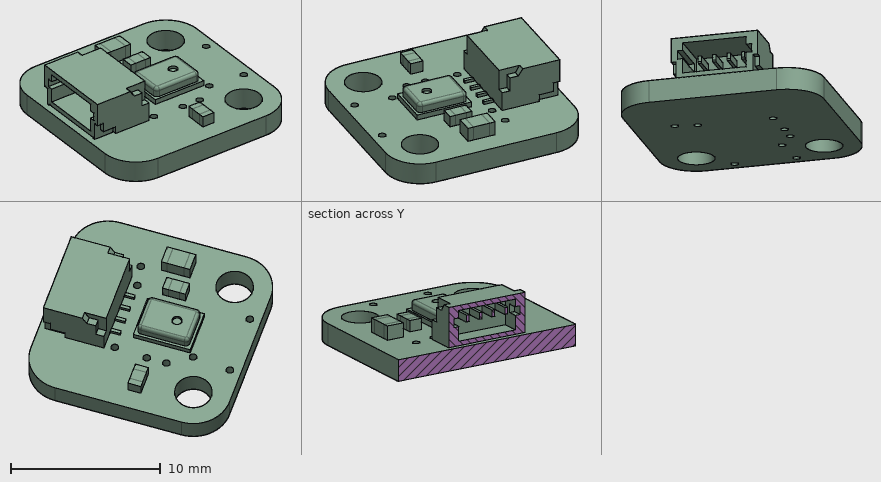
import cadquery as cq

BOARD_SIDE = 13.97
BOARD_THICKNESS = 1.55
OVERALL_HEIGHT = 4.53
CORNER_RADIUS = 2.54
MOUNT_HOLE_DIAMETER = 2.5
MOUNT_HOLE_OFFSET = BOARD_SIDE / 2 - CORNER_RADIUS
VIA_DIAMETER = 0.5
VIA_POINTS = [
    (-2.29, 6.22),
    (2.01, 6.22),
    (1.77, 3.55),
    (2.8, 2.01),
    (2.8, 0.63),
    (2.65, -1.66),
    (-2.54, -1.77),
    (-4.07, -2.03),
]

MIC_CENTER_Y = 1.27
MIC_BASE_WIDTH = 3.05
MIC_BASE_LENGTH = 4.0
MIC_BASE_HEIGHT = 0.38
MIC_RIM = 0.18
MIC_CAN_HEIGHT = 0.7
MIC_CAN_CORNER_RADIUS = 0.3
MIC_CAN_TOP_RADIUS = 0.24
PORT_DIAMETER = 0.65
PORT_DEPTH = 0.2
PORT_CENTER_Y = 1.85

CHIP_CAP_LENGTH = 0.4
LARGE_CHIP_SIZE = (2.01, 1.26, 1.0)
SMALL_CHIP_SIZE = (1.6, 0.91, 0.8)
LARGE_CHIP_CENTER = (-4.83, 0.38)
LEFT_SMALL_CHIP_CENTER = (-2.81, 0.87)
RIGHT_SMALL_CHIP_CENTER = (4.82, 0.68)

CONN_WIDTH = 6.01
CONN_BACK_Y = -2.3
CONN_FRONT_Y = -6.57
CONN_TOP = OVERALL_HEIGHT - BOARD_THICKNESS
CONN_CLEARANCE = 0.11

CAVITY_WIDTH = 4.41
CAVITY_BOTTOM = 0.46
CAVITY_TOP = 2.6
CAVITY_DEPTH = 3.35
KEYWAY_WIDTH = 5.17
KEYWAY_DEPTH = 2.8
KEYWAY_BOTTOM = 1.48
KEYWAY_TOP = 2.07

REAR_NOTCH_WIDTH = 0.49
REAR_NOTCH_BOTTOM = 1.5
REAR_NOTCH_STEP_Z = 2.5
REAR_NOTCH_STEP_Y = -2.88
REAR_NOTCH_SLOPE_Y = -3.5
REAR_NOTCH_END_Y = -3.83

FRONT_NOTCH_WIDTH = 0.32
FRONT_NOTCH_LOW_TOP = 0.63
FRONT_NOTCH_HIGH_TOP = 1.29
FRONT_NOTCH_END_Y = -5.06
FRONT_NOTCH_STEP_Y = -6.08

FOOT_WIDTH = 0.2
FOOT_BOTTOM = 0.04

CONTACT_COUNT = 4
CONTACT_PITCH = 1.0
CONTACT_WIDTH = 0.22
LEAD_HEIGHT = 0.21
LEAD_TIP_Y = -1.62
LEAD_ROOT_Y = -2.43
PIN_BOTTOM = 1.68
PIN_TOP = 2.18
PIN_LENGTH = 1.68
PIN_CHAMFER_HEIGHT = 0.11
PIN_CHAMFER_LENGTH = 0.05


def block(x_range, y_range, z_range):
    """Box between limits; heights are measured from the top of the board."""
    (x0, x1), (y0, y1), (z0, z1) = x_range, y_range, z_range
    corner = cq.Vector(x0, y0, BOARD_THICKNESS + z0)
    return cq.Workplane(cq.Solid.makeBox(x1 - x0, y1 - y0, z1 - z0, corner))


def side_profile(points, x0, width):
    """Prism of a (y, z) outline, from x0 towards +X; z is measured from the top of the board."""
    plane = cq.Workplane("YZ", origin=(x0, 0, BOARD_THICKNESS))
    return plane.polyline(points).close().extrude(width)


def make_board():
    board = cq.Workplane("XY").rect(BOARD_SIDE, BOARD_SIDE).extrude(BOARD_THICKNESS)
    board = board.edges("|Z").fillet(CORNER_RADIUS)
    mount_points = [(-MOUNT_HOLE_OFFSET, MOUNT_HOLE_OFFSET), (MOUNT_HOLE_OFFSET, MOUNT_HOLE_OFFSET)]
    top = board.faces(">Z").workplane(origin=(0, 0, BOARD_THICKNESS))
    board = top.pushPoints(mount_points).hole(MOUNT_HOLE_DIAMETER)
    top = board.faces(">Z").workplane(origin=(0, 0, BOARD_THICKNESS))
    return top.pushPoints(VIA_POINTS).hole(VIA_DIAMETER)


def make_mic_base():
    plane = cq.Workplane("XY", origin=(0, MIC_CENTER_Y, BOARD_THICKNESS))
    return plane.rect(MIC_BASE_WIDTH, MIC_BASE_LENGTH).extrude(MIC_BASE_HEIGHT)


def make_mic_can():
    can_bottom = BOARD_THICKNESS + MIC_BASE_HEIGHT
    can_top = can_bottom + MIC_CAN_HEIGHT
    plane = cq.Workplane("XY", origin=(0, MIC_CENTER_Y, can_bottom))
    can = plane.rect(MIC_BASE_WIDTH - 2 * MIC_RIM, MIC_BASE_LENGTH - 2 * MIC_RIM).extrude(MIC_CAN_HEIGHT)
    can = can.edges("|Z").fillet(MIC_CAN_CORNER_RADIUS)
    can = can.faces(">Z").edges().fillet(MIC_CAN_TOP_RADIUS)
    port_plane = cq.Workplane("XY", origin=(0, PORT_CENTER_Y, can_top))
    port = port_plane.circle(PORT_DIAMETER / 2).extrude(-PORT_DEPTH)
    return can.cut(port)


def make_chip(size, center, along_y):
    """One chip: a core with an end cap at each end, flush on all sides, with the seams kept."""
    length, width, height = size
    core_half = length / 2 - CHIP_CAP_LENGTH
    y_range = (-width / 2, width / 2)
    z_range = (0, height)
    chip = block((-core_half, core_half), y_range, z_range)
    for x_range in [(-length / 2, -core_half), (core_half, length / 2)]:
        chip = chip.union(block(x_range, y_range, z_range), clean=False)
    if along_y:
        chip = chip.rotate((0, 0, 0), (0, 0, 1), 90)
    return chip.translate((*center, 0))


def make_cavity():
    """Mouth of the connector, with a shallower keyway in each side wall."""
    mouth_y = (CONN_FRONT_Y, CONN_FRONT_Y + CAVITY_DEPTH)
    keyway_y = (CONN_FRONT_Y, CONN_FRONT_Y + KEYWAY_DEPTH)
    mouth = block((-CAVITY_WIDTH / 2, CAVITY_WIDTH / 2), mouth_y, (CAVITY_BOTTOM, CAVITY_TOP))
    keyways = block((-KEYWAY_WIDTH / 2, KEYWAY_WIDTH / 2), keyway_y, (KEYWAY_BOTTOM, KEYWAY_TOP))
    return mouth.union(keyways)


def make_rear_notch():
    """Stepped and sloped notch at the upper rear corner of the -X side."""
    outline = [
        (CONN_BACK_Y, REAR_NOTCH_BOTTOM),
        (REAR_NOTCH_STEP_Y, REAR_NOTCH_BOTTOM),
        (REAR_NOTCH_STEP_Y, REAR_NOTCH_STEP_Z),
        (REAR_NOTCH_SLOPE_Y, REAR_NOTCH_STEP_Z),
        (REAR_NOTCH_END_Y, CONN_TOP),
        (CONN_BACK_Y, CONN_TOP),
    ]
    return side_profile(outline, -CONN_WIDTH / 2, REAR_NOTCH_WIDTH)


def make_front_notch():
    """Stepped notch at the lower front corner of the -X side."""
    outline = [
        (CONN_FRONT_Y, CONN_CLEARANCE),
        (FRONT_NOTCH_END_Y, CONN_CLEARANCE),
        (FRONT_NOTCH_END_Y, FRONT_NOTCH_LOW_TOP),
        (FRONT_NOTCH_STEP_Y, FRONT_NOTCH_LOW_TOP),
        (FRONT_NOTCH_STEP_Y, FRONT_NOTCH_HIGH_TOP),
        (CONN_FRONT_Y, FRONT_NOTCH_HIGH_TOP),
    ]
    return side_profile(outline, -CONN_WIDTH / 2, FRONT_NOTCH_WIDTH)


def make_foot():
    """Foot under the -X side, flush with the inner wall of the front notch."""
    foot_x = -CONN_WIDTH / 2 + FRONT_NOTCH_WIDTH
    return block((foot_x, foot_x + FOOT_WIDTH), (CONN_FRONT_Y, FRONT_NOTCH_END_Y), (FOOT_BOTTOM, CONN_CLEARANCE))


def make_pin(contact_x):
    """Pin from the cavity's rear wall, chamfered under its tip."""
    root_y = CONN_FRONT_Y + CAVITY_DEPTH
    tip_y = root_y - PIN_LENGTH
    outline = [
        (root_y, PIN_BOTTOM),
        (tip_y + PIN_CHAMFER_LENGTH, PIN_BOTTOM),
        (tip_y, PIN_BOTTOM + PIN_CHAMFER_HEIGHT),
        (tip_y, PIN_TOP),
        (root_y, PIN_TOP),
    ]
    return side_profile(outline, contact_x - CONTACT_WIDTH / 2, CONTACT_WIDTH)


def make_lead(contact_x):
    """Solder lead behind the housing, resting on the board."""
    x_range = (contact_x - CONTACT_WIDTH / 2, contact_x + CONTACT_WIDTH / 2)
    return block(x_range, (LEAD_ROOT_Y, LEAD_TIP_Y), (0, LEAD_HEIGHT))


def make_connector():
    x_range = (-CONN_WIDTH / 2, CONN_WIDTH / 2)
    connector = block(x_range, (CONN_FRONT_Y, CONN_BACK_Y), (CONN_CLEARANCE, CONN_TOP))
    connector = connector.cut(make_cavity())
    for notch in [make_rear_notch(), make_front_notch()]:
        connector = connector.cut(notch).cut(notch.mirror("YZ"))
    foot = make_foot()
    connector = connector.union(foot).union(foot.mirror("YZ"))
    for index in range(CONTACT_COUNT):
        contact_x = (index - (CONTACT_COUNT - 1) / 2) * CONTACT_PITCH
        connector = connector.union(make_pin(contact_x)).union(make_lead(contact_x))
    return connector


board = make_board()
mic_base = make_mic_base()
mic_can = make_mic_can()
connector = make_connector()
chips = [
    make_chip(LARGE_CHIP_SIZE, LARGE_CHIP_CENTER, along_y=True),
    make_chip(SMALL_CHIP_SIZE, LEFT_SMALL_CHIP_CENTER, along_y=True),
    make_chip(SMALL_CHIP_SIZE, RIGHT_SMALL_CHIP_CENTER, along_y=False),
]

result = cq.Compound.makeCompound(
    [board.val(), mic_base.val(), mic_can.val(), connector.val(), *[chip.val() for chip in chips]]
)